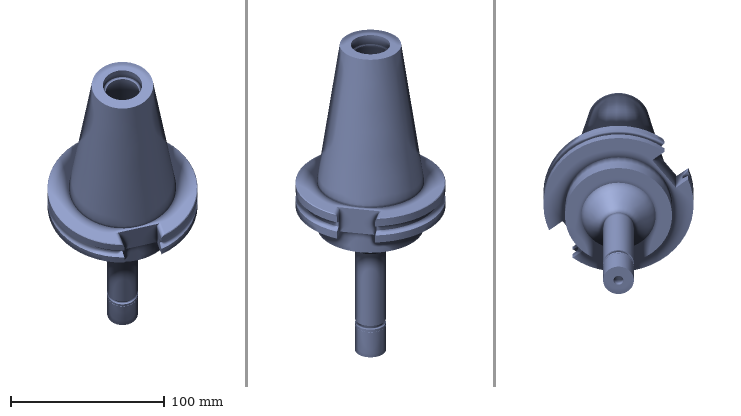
import cadquery as cq

TOTAL_HEIGHT = 228.5
NUT_SEAM_BOTTOM = 18.7
NUT_SEAM_TOP = 19.2
NECK_BOTTOM = 20.8
NECK_TOP = 23.5
SHANK_TOP = 77.3
NOSE_CONE_TOP = 92.4
FLANGE_BOTTOM = 108.0
FLANGE_TOP = 126.0
TAPER_BOTTOM = 127.3

SHANK_RADIUS = 10.0
NECK_RADIUS = 8.2
SEAM_DEPTH = 0.11
NOSE_CONE_RADIUS = 24.2
COLLAR_RADIUS = 35.0
FLANGE_RADIUS = 49.03
TAPER_END_RADIUS = 20.1
FLANGE_CHAMFER = 0.5

GROOVE_RADIUS = 44.8
GROOVE_BOTTOM = 114.5
GROOVE_TOP = 118.2
GROOVE_LOWER_LIP = 113.2
GROOVE_UPPER_LIP = 120.0

COUNTERBORE_RADIUS = 12.8
COUNTERBORE_DEPTH = 6.6
DRAWBAR_BORE_RADIUS = 11.0
DRAWBAR_BORE_DEPTH = 45.7
COOLANT_RADIUS = 4.0
NOSE_BORE_RADIUS = 3.2

CHIP_SLOT_FLOOR = 37.5
PLAIN_SLOT_FLOOR = 36.3
SLOT_WIDTH = 25.4
SLOT_FILLET = 2.7

CHIP_RADIUS = 4.8
CHIP_DEPTH = 8.0
CHIP_Z = (FLANGE_BOTTOM + FLANGE_TOP) / 2


def make_turned_blank():
    seam_radius = SHANK_RADIUS - SEAM_DEPTH
    outline = [
        (0, 0),
        (SHANK_RADIUS, 0),
        (SHANK_RADIUS, NUT_SEAM_BOTTOM),
        (seam_radius, NUT_SEAM_BOTTOM),
        (seam_radius, NUT_SEAM_TOP),
        (SHANK_RADIUS, NUT_SEAM_TOP),
        (SHANK_RADIUS, NECK_BOTTOM),
        (NECK_RADIUS, NECK_BOTTOM),
        (NECK_RADIUS, NECK_TOP),
        (SHANK_RADIUS, NECK_TOP),
        (SHANK_RADIUS, SHANK_TOP),
        (NOSE_CONE_RADIUS, NOSE_CONE_TOP),
        (COLLAR_RADIUS, NOSE_CONE_TOP),
        (COLLAR_RADIUS, FLANGE_BOTTOM),
        (FLANGE_RADIUS, FLANGE_BOTTOM),
        (FLANGE_RADIUS, GROOVE_LOWER_LIP),
        (GROOVE_RADIUS, GROOVE_BOTTOM),
        (GROOVE_RADIUS, GROOVE_TOP),
        (FLANGE_RADIUS, GROOVE_UPPER_LIP),
        (FLANGE_RADIUS, FLANGE_TOP - FLANGE_CHAMFER),
        (FLANGE_RADIUS - FLANGE_CHAMFER, FLANGE_TOP),
        (COLLAR_RADIUS, FLANGE_TOP),
        (COLLAR_RADIUS, TAPER_BOTTOM),
        (TAPER_END_RADIUS, TOTAL_HEIGHT),
        (0, TOTAL_HEIGHT),
    ]
    return cq.Workplane("XZ").polyline(outline).close().revolve(360, (0, 0), (0, 1))


def make_axial_bores():
    top = cq.Workplane("XY").workplane(offset=TOTAL_HEIGHT)
    counterbore = top.circle(COUNTERBORE_RADIUS).extrude(-COUNTERBORE_DEPTH)
    drawbar_bore = top.circle(DRAWBAR_BORE_RADIUS).extrude(-DRAWBAR_BORE_DEPTH)
    coolant_bore = (
        cq.Workplane("XY").workplane(offset=NECK_TOP)
        .circle(COOLANT_RADIUS).extrude(TOTAL_HEIGHT - NECK_TOP)
    )
    nose_bore = cq.Workplane("XY").circle(NOSE_BORE_RADIUS).extrude(NECK_TOP)
    return counterbore.union(drawbar_bore).union(coolant_bore).union(nose_bore)


def make_drive_slot(side, floor):
    """Slot through the flange height whose top side edges flare out as fillets; side is the sign of X."""
    half_width = SLOT_WIDTH / 2
    half_mouth = half_width + SLOT_FILLET
    fillet_z = FLANGE_TOP - SLOT_FILLET
    return (
        cq.Workplane("YZ").workplane(offset=side * floor)
        .moveTo(-half_width, FLANGE_BOTTOM)
        .lineTo(half_width, FLANGE_BOTTOM)
        .lineTo(half_width, fillet_z)
        .radiusArc((half_mouth, FLANGE_TOP), SLOT_FILLET)
        .lineTo(-half_mouth, FLANGE_TOP)
        .radiusArc((-half_width, fillet_z), SLOT_FILLET)
        .close()
        .extrude(side * (FLANGE_RADIUS - floor))
    )


def make_data_chip():
    return (
        cq.Workplane("YZ", origin=(-CHIP_SLOT_FLOOR, 0, CHIP_Z))
        .circle(CHIP_RADIUS).extrude(CHIP_DEPTH)
    )


def make_holder(chip):
    body = make_turned_blank().cut(make_axial_bores())
    for side, floor in ((-1, CHIP_SLOT_FLOOR), (1, PLAIN_SLOT_FLOOR)):
        body = body.cut(make_drive_slot(side, floor))
    return body.cut(chip)


data_chip = make_data_chip()
holder = make_holder(data_chip)

result = cq.Compound.makeCompound([holder.val(), data_chip.val()])